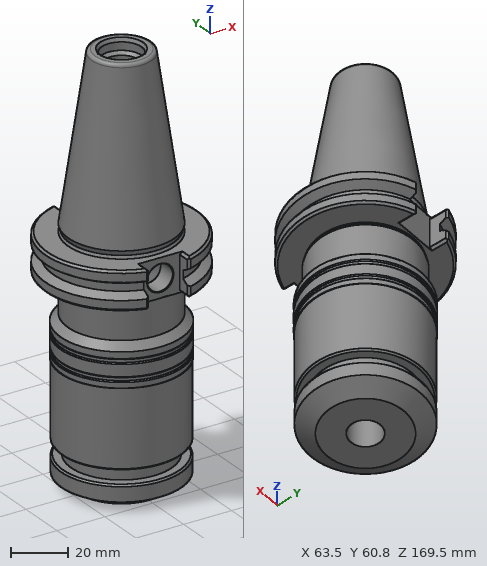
import cadquery as cq
import math


total_length = 169.47
taper_length = 68.25
gauge_radius = 44.45 / 2
gauge_plane = 0
taper_half_slope = 7 / 48
shank_end_radius = gauge_radius - taper_length * taper_half_slope
shank_end_fillet = 1.5
relief_radius = 21.6
relief_end = -2.0
relief_foot_radius = 22.2

flange_radius = 63.5 / 2
flange_top = -3.18
flange_thickness = 15.88
flange_bottom = flange_top - flange_thickness
flange_edge_chamfer = 0.9
v_center = -11.15
v_root_radius = 28.3
v_mouth_half = 3.55
v_flank_angle = 30
v_root_half = v_mouth_half - (flange_radius - v_root_radius) * math.tan(math.radians(v_flank_angle))

neck_radius = gauge_radius
undercut_radius = 21.75
undercut_bottom = flange_bottom - 0.5
undercut_cone_bottom = flange_bottom - 1.7
shoulder_top = -35.0
shoulder_bottom = -38.0
band_radius = 50.5 / 2
band_bottom = -52.3
ring_groove_depth = 0.4
ring_groove_half_width = 1.1
ring_groove_wall = 0.5
ring_groove_centers = (-41.75, -48.85)
body_radius = 50.0 / 2

body_bottom = -84.55
nut_gap_radius = 42.0 / 2
nut_top = -90.2
edge_chamfer = 0.7
nose = taper_length - total_length
nose_cone_top = nose + 4.35
nose_radius = 17.6

bore_radius = 13.53 / 2
counterbore_radius = 16.5 / 2
counterbore_depth = 4.8
counterbore_floor_drop = 1.2
bore_mouth_radius = 9.0
bore_mouth_depth = 1.5

slot_width = 16.3
slot_bevel = 1.03
slot_rim_bevel_depth = 0.6
front_slot_floor = 25.0
back_slot_floor = 22.6
cut_clearance = 1.0

floor_hole_radius = 10.7 / 2
floor_hole_chamfer = 0.25
floor_hole_depth = 8.0
drill_point_angle = 135


def revolve_about_z(outline):
    """Full turn of a closed (radius, z) outline about the spindle axis."""
    return cq.Workplane("XZ").polyline(outline).close().revolve(360, (0, 0), (0, 1))


def ring_groove(z):
    """Profile points of one chamfered ring groove around the band, from top to bottom."""
    floor_radius = band_radius - ring_groove_depth
    floor_half = ring_groove_half_width - ring_groove_wall
    return [
        (band_radius, z + ring_groove_half_width),
        (floor_radius, z + floor_half),
        (floor_radius, z - floor_half),
        (band_radius, z - ring_groove_half_width),
    ]


def turned_body():
    """Outside of the whole holder, listed from the shank end down to the nose."""
    outline = [
        (0, taper_length),
        (shank_end_radius, taper_length),
        (gauge_radius, gauge_plane),
        (relief_radius, relief_end),
        (relief_foot_radius, flange_top),
        (flange_radius - flange_edge_chamfer, flange_top),
        (flange_radius, flange_top - flange_edge_chamfer),
        (flange_radius, v_center + v_mouth_half),
        (v_root_radius, v_center + v_root_half),
        (v_root_radius, v_center - v_root_half),
        (flange_radius, v_center - v_mouth_half),
        (flange_radius, flange_bottom + flange_edge_chamfer),
        (flange_radius - flange_edge_chamfer, flange_bottom),
        (undercut_radius, flange_bottom),
        (undercut_radius, undercut_bottom),
        (neck_radius, undercut_cone_bottom),
        (neck_radius, shoulder_top),
        (band_radius, shoulder_bottom),
    ]
    for z in ring_groove_centers:
        outline += ring_groove(z)
    outline += [
        (band_radius, band_bottom),
        (body_radius, band_bottom),
        (body_radius, body_bottom + edge_chamfer),
        (body_radius - edge_chamfer, body_bottom),
        (nut_gap_radius, body_bottom),
        (nut_gap_radius, nut_top),
        (body_radius - edge_chamfer, nut_top),
        (body_radius, nut_top - edge_chamfer),
        (body_radius, nose_cone_top),
        (nose_radius, nose),
        (0, nose),
    ]
    body = revolve_about_z(outline)
    return body.faces(">Z").edges().fillet(shank_end_fillet)


def stud_bore():
    """Chamfered counterbore with a conical floor, then a plain bore through to the nose."""
    outline = [
        (0, taper_length),
        (bore_mouth_radius, taper_length),
        (counterbore_radius, taper_length - bore_mouth_depth),
        (counterbore_radius, taper_length - counterbore_depth),
        (bore_radius, taper_length - counterbore_depth - counterbore_floor_drop),
        (bore_radius, nose),
        (0, nose),
    ]
    return revolve_about_z(outline)


def drive_slot(floor, side):
    """Slot through the flange on the +Y (side = 1) or -Y (side = -1) side, its mouths bevelled."""
    half = slot_width / 2
    wide = half + slot_bevel
    reach = flange_radius - floor + cut_clearance
    face_section = [
        (-wide, flange_top),
        (wide, flange_top),
        (half, flange_top - slot_bevel),
        (half, flange_bottom + slot_bevel),
        (wide, flange_bottom),
        (-wide, flange_bottom),
        (-half, flange_bottom + slot_bevel),
        (-half, flange_top - slot_bevel),
    ]
    slot = (
        cq.Workplane("XZ", origin=(0, side * floor, 0))
        .polyline(face_section)
        .close()
        .extrude(-side * reach)
    )
    rim_y = math.sqrt(flange_radius**2 - wide**2)
    rim_section = [
        (-half, side * (rim_y - slot_rim_bevel_depth)),
        (half, side * (rim_y - slot_rim_bevel_depth)),
        (wide, side * rim_y),
        (wide, side * flange_radius),
        (-wide, side * flange_radius),
        (-wide, side * rim_y),
    ]
    rim_mouth = (
        cq.Workplane("XY", origin=(0, 0, flange_bottom))
        .polyline(rim_section)
        .close()
        .extrude(flange_thickness)
    )
    return slot.union(rim_mouth)


def floor_hole():
    """Countersunk blind hole with a drill point, in the floor of the -Y slot."""
    point_length = floor_hole_radius / math.tan(math.radians(drill_point_angle / 2))
    outline = [
        (0, 0),
        (floor_hole_radius + floor_hole_chamfer, 0),
        (floor_hole_radius, floor_hole_chamfer),
        (floor_hole_radius, floor_hole_depth),
        (0, floor_hole_depth + point_length),
    ]
    hole = cq.Workplane("XY").polyline(outline).close().revolve(360, (0, 0), (0, 1))
    return hole.translate((0, -front_slot_floor, v_center))


result = turned_body().cut(stud_bore())
result = result.cut(drive_slot(front_slot_floor, -1)).cut(drive_slot(back_slot_floor, 1))
result = result.cut(floor_hole())